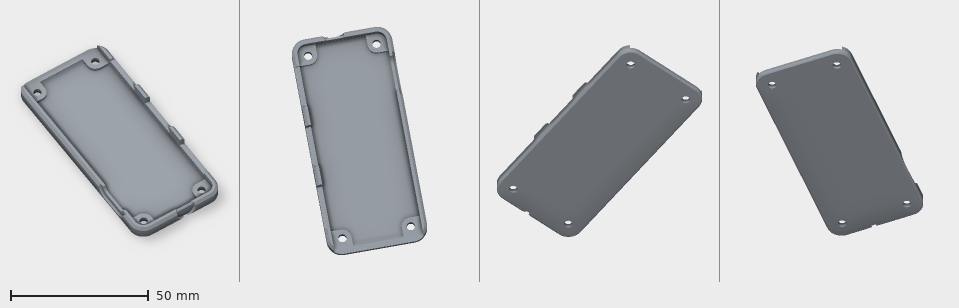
import cadquery as cq

LENGTH = 81.4
WIDTH = 36.95
RIM_Z = 5.0
WALL = 2.0
FLOOR_Z = 1.0
CORNER_R = 5.5
RIM_CHAMFER = 1.0
BASE_CHAMFER = 0.5
FLOOR_FILLET = 1.5

LEDGE_Z = 2.2
LEDGE_WIDTH = 2.45

HOLE_DIAMETER = 3.0
HOLE_INSET = 5.9
PAD_R = 3.3

TAB_TOP_Z = 7.2
TAB_WIDTH = 7.0
TAB_SPACING = 22.8
LOWERED_LENGTH = 61.7
LOWERED_Z = RIM_Z - RIM_CHAMFER

FRONT_PORT_X = 22.15
FRONT_PORT_FLAT = 7.8
FRONT_PORT_AXIS_Z = 5.7
FRONT_NOTCH_R = 2.8
FRONT_RECESS_R = 4.4
FRONT_RECESS_DEPTH = 1.0

END_PORT_Y = 2.2
END_NOTCH_FLOOR_Z = 4.5
END_NOTCH_FLAT = 5.95
END_RECESS_R = 3.9
END_RECESS_AXIS_Z = 3.8
END_RECESS_DEPTH = 1.1
END_FLARE_DEPTH = 0.6
END_FLARE_ANGLE = 30

HALF_LENGTH = LENGTH / 2
HALF_WIDTH = WIDTH / 2
INNER_END_X = HALF_LENGTH - WALL
INNER_SIDE_Y = HALF_WIDTH - WALL
LEDGE_INNER_X = -HALF_LENGTH + LEDGE_WIDTH
CLEAR = 0.8


def box(x_min, x_max, y_min, y_max, z_min, z_max):
    corner = cq.Workplane("XY").box(x_max - x_min, y_max - y_min, z_max - z_min, centered=False)
    return corner.translate((x_min, y_min, z_min))


def rounded_block(top_z):
    block = cq.Workplane("XY").rect(LENGTH, WIDTH).extrude(top_z)
    block = block.edges("|Z").fillet(CORNER_R)
    return block.faces("<Z").chamfer(BASE_CHAMFER)


def upper_cavity():
    """Space above the ledge: closed and rounded at +X, open through the -X end."""
    cavity = box(-HALF_LENGTH - CLEAR, INNER_END_X, -INNER_SIDE_Y, INNER_SIDE_Y, LEDGE_Z, TAB_TOP_Z)
    return cavity.edges("|Z and >X").fillet(CORNER_R - WALL)


def pad(x_sign, y_sign):
    """Corner block that reaches from the screw hole into the corner of the pocket."""
    hole_x = HALF_LENGTH - HOLE_INSET
    hole_y = HALF_WIDTH - HOLE_INSET
    block = box(hole_x - PAD_R, HALF_LENGTH, hole_y - PAD_R, HALF_WIDTH, 0, LEDGE_Z)
    block = block.edges("|Z and <X and <Y").fillet(PAD_R)
    if x_sign < 0:
        block = block.mirror("YZ")
    if y_sign < 0:
        block = block.mirror("XZ")
    return block


def floor_pocket():
    """Pocket below the ledge with a filleted floor, leaving the four corner pads."""
    pocket = box(LEDGE_INNER_X, INNER_END_X, -INNER_SIDE_Y, INNER_SIDE_Y, FLOOR_Z, LEDGE_Z + FLOOR_FILLET)
    pocket = pocket.faces("<Z").edges().fillet(FLOOR_FILLET)
    pocket = pocket.intersect(box(-LENGTH, LENGTH, -WIDTH, WIDTH, 0, LEDGE_Z))
    for x_sign in (-1, 1):
        for y_sign in (-1, 1):
            pocket = pocket.cut(pad(x_sign, y_sign))
    return pocket


def tray():
    shell = rounded_block(RIM_Z).faces(">Z").chamfer(RIM_CHAMFER)
    return shell.cut(upper_cavity()).cut(floor_pocket())


def screw_holes():
    return (
        cq.Workplane("XY")
        .rect(LENGTH - 2 * HOLE_INSET, WIDTH - 2 * HOLE_INSET, forConstruction=True)
        .vertices()
        .circle(HOLE_DIAMETER / 2)
        .extrude(RIM_Z)
    )


def lowered_back_wall():
    half = LOWERED_LENGTH / 2
    return box(-half, half, INNER_SIDE_Y, HALF_WIDTH + CLEAR, LOWERED_Z, TAB_TOP_Z)


def tab(center_x):
    half = TAB_WIDTH / 2
    block = box(center_x - half, center_x + half, INNER_SIDE_Y, HALF_WIDTH, LEDGE_Z, TAB_TOP_Z)
    return block.edges(">Z and >Y").chamfer(RIM_CHAMFER)


def front_port_cutter(radius, depth):
    """Flat-bottomed round-sided trough cut into the front wall."""
    half_flat = FRONT_PORT_FLAT / 2
    outline = (
        cq.Workplane("XZ", origin=(FRONT_PORT_X, -HALF_WIDTH + depth, 0))
        .moveTo(-half_flat - radius, FRONT_PORT_AXIS_Z)
        .radiusArc((-half_flat, FRONT_PORT_AXIS_Z - radius), -radius)
        .lineTo(half_flat, FRONT_PORT_AXIS_Z - radius)
        .radiusArc((half_flat + radius, FRONT_PORT_AXIS_Z), -radius)
        .close()
    )
    return outline.extrude(depth + CLEAR)


def end_notch_outline(x):
    """Shallow trough section with 45 degree sides, open above the rim."""
    half_flat = END_NOTCH_FLAT / 2
    rise = RIM_Z + CLEAR - END_NOTCH_FLOOR_Z
    return (
        cq.Workplane("YZ", origin=(x, END_PORT_Y, END_NOTCH_FLOOR_Z))
        .moveTo(-half_flat, 0)
        .lineTo(half_flat, 0)
        .lineTo(half_flat + rise, rise)
        .lineTo(-half_flat - rise, rise)
        .close()
    )


def end_notch():
    """Trough through the +X wall that flares into the outer recess."""
    trough = end_notch_outline(INNER_END_X - CLEAR).extrude(WALL + CLEAR)
    flare_start_x = HALF_LENGTH - END_RECESS_DEPTH - END_FLARE_DEPTH
    flare = end_notch_outline(flare_start_x).extrude(END_FLARE_DEPTH, taper=-END_FLARE_ANGLE)
    return trough.union(flare)


def end_recess():
    axis = cq.Workplane("YZ", origin=(HALF_LENGTH - END_RECESS_DEPTH, END_PORT_Y, END_RECESS_AXIS_Z))
    return axis.circle(END_RECESS_R).extrude(END_RECESS_DEPTH + CLEAR)


result = tray().cut(screw_holes()).cut(lowered_back_wall())
for side in (-1, 1):
    result = result.union(tab(side * TAB_SPACING / 2))
result = result.cut(front_port_cutter(FRONT_NOTCH_R, WALL))
result = result.cut(front_port_cutter(FRONT_RECESS_R, FRONT_RECESS_DEPTH))
result = result.cut(end_notch()).cut(end_recess())